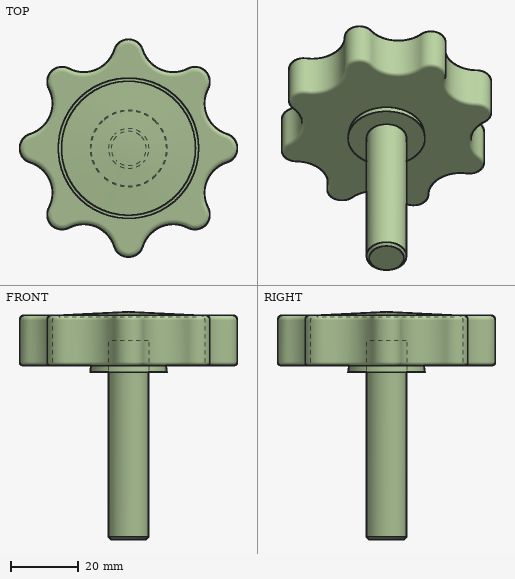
import cadquery as cq
import math

stud_length = 50.0
boss_height = 2.0
grip_height = 15.0
overall_height = 68.0

lobe_count = 8
grip_radius = 32.5
lobe_radius = 4.5
scallop_radius = 9.5
top_fillet = 1.5
bottom_fillet = 1.0

crown_radius = 20.0
groove_outer_radius = 20.95

boss_top_radius = 11.2
boss_bottom_radius = 11.5

stud_radius = 6.0
stud_chamfer = 0.8

boss_bottom = stud_length
grip_bottom = boss_bottom + boss_height
grip_top = grip_bottom + grip_height
stud_top = grip_bottom + grip_height / 2

groove_center_radius = (crown_radius + groove_outer_radius) / 2
groove_depth = (groove_outer_radius - crown_radius) / 2

lobe_pitch = 2 * math.pi / lobe_count
lobe_center_radius = grip_radius - lobe_radius
center_spacing = lobe_radius + scallop_radius
half_chord = lobe_center_radius * math.sin(lobe_pitch / 2)
scallop_center_radius = (lobe_center_radius * math.cos(lobe_pitch / 2)
                         + math.sqrt(center_spacing ** 2 - half_chord ** 2))
valley_radius = scallop_center_radius - scallop_radius


def polar(radius, angle):
    return (radius * math.cos(angle), radius * math.sin(angle))


def tangent_point(lobe_angle, side):
    """Point where a lobe arc meets the scallop on its side (-1 clockwise, +1 counterclockwise)."""
    lobe_x, lobe_y = polar(lobe_center_radius, lobe_angle)
    scallop_x, scallop_y = polar(scallop_center_radius, lobe_angle + side * lobe_pitch / 2)
    share = lobe_radius / center_spacing
    return (lobe_x + share * (scallop_x - lobe_x), lobe_y + share * (scallop_y - lobe_y))


def make_star_grip():
    """Lobed body with rounded upper and lower rims."""
    outline = cq.Workplane("XY", origin=(0, 0, grip_bottom)).moveTo(*tangent_point(0, -1))
    for index in range(lobe_count):
        angle = index * lobe_pitch
        outline = outline.threePointArc(polar(grip_radius, angle), tangent_point(angle, 1))
        outline = outline.threePointArc(
            polar(valley_radius, angle + lobe_pitch / 2),
            tangent_point(angle + lobe_pitch, -1),
        )
    grip = outline.close().extrude(grip_height)
    return grip.faces(">Z").edges().fillet(top_fillet).faces("<Z").edges().fillet(bottom_fillet)


def make_boss():
    """Tapered collar under the grip."""
    return (
        cq.Workplane("XZ")
        .moveTo(0, boss_bottom)
        .lineTo(boss_bottom_radius, boss_bottom)
        .lineTo(boss_top_radius, grip_bottom)
        .lineTo(0, grip_bottom)
        .close()
        .revolve(360, (0, 0), (0, 1))
    )


def make_crown():
    """Shallow cone rising from the top face."""
    return (
        cq.Workplane("XZ")
        .moveTo(0, grip_top)
        .lineTo(crown_radius, grip_top)
        .lineTo(0, overall_height)
        .close()
        .revolve(360, (0, 0), (0, 1))
    )


def make_crown_groove():
    """Half-round ring around the crown."""
    return (
        cq.Workplane("XZ")
        .moveTo(crown_radius, grip_top)
        .threePointArc((groove_center_radius, grip_top - groove_depth), (groove_outer_radius, grip_top))
        .close()
        .revolve(360, (0, 0), (0, 1))
    )


def make_stud():
    stud = cq.Workplane("XY").circle(stud_radius).extrude(stud_top)
    return stud.faces("<Z").edges().chamfer(stud_chamfer)


def make_knob(stud):
    knob = make_star_grip().union(make_boss()).cut(make_crown_groove()).union(make_crown())
    return knob.cut(stud)


stud = make_stud()
knob = make_knob(stud)

result = cq.Compound.makeCompound([knob.val(), stud.val()])